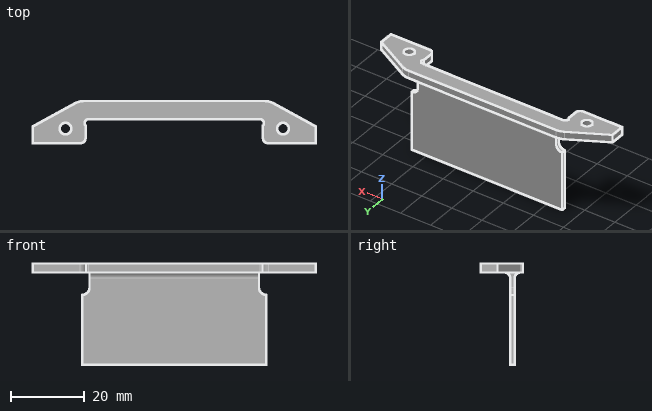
import cadquery as cq
import math

plate_length = 76.8
plate_depth = 11.5
plate_thickness = 2.5
strip_width = 5.0
end_face_depth = 4.6
shoulder_half_span = 25.8
shoulder_radius = 5.0
foot_inner_x = 24.0
foot_corner_radius = 1.5

relief_radius = 1.0
relief_undercut = 0.3

hole_diameter = 3.1
hole_x = 29.5
hole_y = 4.0

part_height = 27.5
web_thickness = 1.3
web_front_offset = 1.5
web_width = 50.0
neck_width = 46.0
neck_bottom_depth = 8.5
root_fillet_radius = 1.4

strip_front_y = plate_depth - strip_width
web_front_y = strip_front_y + web_front_offset
web_back_y = web_front_y + web_thickness
plate_bottom_z = part_height - plate_thickness
neck_bottom_z = part_height - neck_bottom_depth
neck_arc_radius = (web_width - neck_width) / 2


def make_plate():
    """Plate with sloped shoulders, rounded feet, corner reliefs and screw holes."""
    half_length = plate_length / 2
    relief_x = foot_inner_x + relief_undercut - relief_radius
    relief_y = strip_front_y - relief_radius
    relief_end_drop = math.sqrt(relief_radius**2 - (foot_inner_x - relief_x) ** 2)
    relief_start = (relief_x, strip_front_y)
    relief_deepest = (relief_x + relief_radius, relief_y)
    relief_end = (foot_inner_x, relief_y - relief_end_drop)

    right_half = (
        cq.Workplane("XY", origin=(0, 0, plate_bottom_z))
        .moveTo(0, strip_front_y)
        .lineTo(*relief_start)
        .threePointArc(relief_deepest, relief_end)
        .lineTo(foot_inner_x, 0)
        .lineTo(half_length, 0)
        .lineTo(half_length, end_face_depth)
        .lineTo(shoulder_half_span, plate_depth)
        .lineTo(0, plate_depth)
        .close()
        .extrude(plate_thickness)
    )

    def round_corner(body, corner_x, corner_y, radius):
        corner = (corner_x, corner_y, plate_bottom_z + plate_thickness / 2)
        edge = cq.selectors.NearestToPointSelector(corner)
        return body.edges("|Z").edges(edge).fillet(radius)

    right_half = round_corner(right_half, shoulder_half_span, plate_depth, shoulder_radius)
    right_half = round_corner(right_half, foot_inner_x, 0, foot_corner_radius)

    hole = (
        cq.Workplane("XY", origin=(hole_x, hole_y, plate_bottom_z))
        .circle(hole_diameter / 2)
        .extrude(plate_thickness)
    )
    right_half = right_half.cut(hole)
    return right_half.union(right_half.mirror("YZ"))


def make_web():
    """Flat web, narrowed to a neck under the plate by quarter-round notches."""
    return (
        cq.Workplane("XZ", origin=(0, web_back_y, 0))
        .moveTo(-web_width / 2, 0)
        .lineTo(web_width / 2, 0)
        .lineTo(web_width / 2, neck_bottom_z)
        .radiusArc((neck_width / 2, neck_bottom_z + neck_arc_radius), neck_arc_radius)
        .lineTo(neck_width / 2, plate_bottom_z)
        .lineTo(-neck_width / 2, plate_bottom_z)
        .lineTo(-neck_width / 2, neck_bottom_z + neck_arc_radius)
        .radiusArc((-web_width / 2, neck_bottom_z), neck_arc_radius)
        .close()
        .extrude(web_thickness)
    )


def make_root_fillets():
    """Concave fillets where both faces of the neck meet the plate."""
    fillet_start_z = plate_bottom_z - root_fillet_radius
    return (
        cq.Workplane("YZ", origin=(-neck_width / 2, 0, 0))
        .moveTo(web_front_y, fillet_start_z)
        .lineTo(web_back_y, fillet_start_z)
        .radiusArc((web_back_y + root_fillet_radius, plate_bottom_z), root_fillet_radius)
        .lineTo(web_front_y - root_fillet_radius, plate_bottom_z)
        .radiusArc((web_front_y, fillet_start_z), root_fillet_radius)
        .close()
        .extrude(neck_width)
    )


result = make_plate().union(make_web()).union(make_root_fillets())